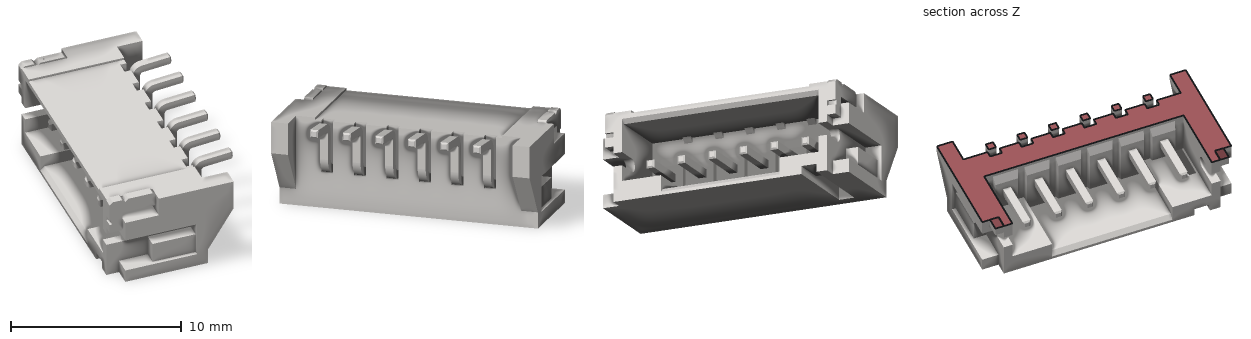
import math

import cadquery as cq


WIDTH = 15.9
SHELL_WIDTH = 13.83
SHELL_DEPTH = 6.0
SHELL_HEIGHT = 5.5
ROOF_PANEL_WIDTH = 11.51
ROOF_PANEL_DROP = 0.15
SHELL_SIDE = SHELL_WIDTH / 2
ROOF_Z = SHELL_HEIGHT - ROOF_PANEL_DROP

CAVITY_WIDTH = 12.69
CAVITY_DEPTH = 4.2
CEILING_Z = 4.8
LEDGE_Z = 1.22
FLOOR_Z = 0.45
FLOOR_WIDTH = 7.68
MOUTH_CHAMFER = 0.25

OPENING_BOTTOM = 2.2
OPENING_TOP = 3.0
OPENING_DEPTH = 1.78

WING_FRONT = 0.8
WING_REAR = 7.6
WING_BEVEL_BOTTOM = 1.0
WING_BEVEL_TOP = 3.58
WING_WIDTH = (WIDTH - SHELL_WIDTH) / 2
TAB_SEAT_REAR = 2.9
TAB_SEAT_Z = 4.3
POCKET_REAR = 5.3
POCKET_BOTTOM = 0.83
PAD_FRONT = 2.59
PAD_TOP = 2.11
PAD_WIDTH = 0.8

CHANNEL_LEFT = 5.25
CHANNEL_WIDTH = 0.99
CHANNEL_HEIGHT = 0.5
CHANNEL_STEP_Y = 2.04
CHANNEL_REAR = 5.25

PIN_COUNT = 6
PITCH = 2.0
PIN_SIZE = 0.5
PIN_Z = 2.4
PIN_FRONT = 0.97
TAIL_END = 8.6
TAIL_TOP = 5.58
TAIL_ANGLE = 5.0
TIP_CHAMFER = 0.1
BEND_START = 5.6
LOWER_BEND_RADIUS = 0.52
UPPER_BEND_RADIUS = 0.7
PIN_SLOT_WIDTH = 0.73

BLOCK_WIDTH = 1.6
BLOCK_SIDE_TAPER = 0.08
BLOCK_DEPTH = 0.2
BLOCK_TOP = 3.72
BLOCK_FRONT_TOP = 3.18
GUSSET_WIDTH = 0.51
GUSSET_SIZE = 0.3

TAB_WIDTH = 0.54
TAB_TOP = 5.61
TAB_ARM_BOTTOM = 4.7
TAB_LEG_BOTTOM = 3.43
TAB_CHAMFER = 0.19
TAB_V_CENTER = 0.99
TAB_GROOVE_BOTTOM = 4.0
TAB_GROOVE_TOP = 4.31
TAB_GROOVE_DEPTH = 0.16
MARK_Y = 1.5
MARK_DIAMETER = 0.1
MARK_DEPTH = 0.08


def box(x_range, y_range, z_range):
    """Box between the given pairs of limits."""
    (x0, x1), (y0, y1), (z0, z1) = x_range, y_range, z_range
    return cq.Workplane("XY").box(x1 - x0, y1 - y0, z1 - z0, centered=False).translate((x0, y0, z0))


def across(points, width, x_center=0.0):
    """Closed outline of (Y, Z) points, extruded along X about x_center."""
    return cq.Workplane("YZ", origin=(x_center, 0, 0)).polyline(points).close().extrude(width / 2, both=True)


def mirror_pair(shape):
    """The shape together with its mirror image on the other side of X = 0."""
    return shape.union(shape.mirror("YZ"))


def row(count):
    """X positions of a centered row at the pin pitch."""
    return [(i - (count - 1) / 2) * PITCH for i in range(count)]


def make_shell():
    half_panel = ROOF_PANEL_WIDTH / 2
    shell = box((-SHELL_SIDE, SHELL_SIDE), (0, SHELL_DEPTH), (0, SHELL_HEIGHT))
    return shell.cut(box((-half_panel, half_panel), (0, SHELL_DEPTH), (ROOF_Z, SHELL_HEIGHT)))


def make_cavity():
    upper = across(
        [
            (0, LEDGE_Z),
            (CAVITY_DEPTH, LEDGE_Z),
            (CAVITY_DEPTH, CEILING_Z),
            (MOUTH_CHAMFER, CEILING_Z),
            (0, CEILING_Z + MOUTH_CHAMFER),
        ],
        CAVITY_WIDTH,
    )
    lower = across(
        [
            (0, FLOOR_Z - MOUTH_CHAMFER),
            (MOUTH_CHAMFER, FLOOR_Z),
            (CAVITY_DEPTH, FLOOR_Z),
            (CAVITY_DEPTH, LEDGE_Z),
            (0, LEDGE_Z),
        ],
        FLOOR_WIDTH,
    )
    return upper.union(lower)


def make_side_openings():
    radius = (OPENING_TOP - OPENING_BOTTOM) / 2
    center_y = OPENING_DEPTH - radius
    return (
        cq.Workplane("YZ")
        .moveTo(0, OPENING_BOTTOM)
        .lineTo(center_y, OPENING_BOTTOM)
        .threePointArc((OPENING_DEPTH, OPENING_BOTTOM + radius), (center_y, OPENING_TOP))
        .lineTo(0, OPENING_TOP)
        .close()
        .extrude(SHELL_SIDE, both=True)
    )


def make_channel():
    """Channel along the underside, deeper behind its front so that it opens through the right ledge."""
    x_range = (CHANNEL_LEFT, CHANNEL_LEFT + CHANNEL_WIDTH)
    channel = box(x_range, (0, CHANNEL_REAR), (0, CHANNEL_HEIGHT))
    return channel.union(box(x_range, (CHANNEL_STEP_Y, CHANNEL_REAR), (0, LEDGE_Z)))


def make_left_wing():
    """Wing with a seat for the solder tab above and a pocket with a raised pad below."""
    outer_x = -WIDTH / 2
    wing_x = (outer_x, -SHELL_SIDE)
    outline = [
        (WING_FRONT, 0),
        (SHELL_DEPTH, 0),
        (SHELL_DEPTH, WING_BEVEL_BOTTOM),
        (WING_REAR, WING_BEVEL_TOP),
        (WING_REAR, SHELL_HEIGHT),
        (TAB_SEAT_REAR, SHELL_HEIGHT),
        (TAB_SEAT_REAR, TAB_SEAT_Z),
        (WING_FRONT, TAB_SEAT_Z),
    ]
    wing = across(outline, WING_WIDTH, (outer_x - SHELL_SIDE) / 2)
    pocket = box(wing_x, (WING_FRONT, POCKET_REAR), (POCKET_BOTTOM, OPENING_TOP))
    pad = box((-SHELL_SIDE - PAD_WIDTH, -SHELL_SIDE), (PAD_FRONT, POCKET_REAR), (POCKET_BOTTOM, PAD_TOP))
    return wing.cut(pocket).union(pad)


def make_block(x_center):
    """Block on the cavity's back wall, tapered at its top and sides."""
    front_y = CAVITY_DEPTH - BLOCK_DEPTH
    half = BLOCK_WIDTH / 2
    front_half = half - BLOCK_SIDE_TAPER
    plan = [
        (x_center - half, CAVITY_DEPTH),
        (x_center - front_half, front_y),
        (x_center + front_half, front_y),
        (x_center + half, CAVITY_DEPTH),
    ]
    profile = [
        (front_y, FLOOR_Z),
        (CAVITY_DEPTH, FLOOR_Z),
        (CAVITY_DEPTH, BLOCK_TOP),
        (front_y, BLOCK_FRONT_TOP),
    ]
    return cq.Workplane("XY").polyline(plan).close().extrude(BLOCK_TOP).intersect(
        across(profile, BLOCK_WIDTH, x_center)
    )


def make_gusset(x_center):
    """Sloped gusset between the ceiling and the back wall."""
    corner = (CAVITY_DEPTH, CEILING_Z)
    return across(
        [corner, (CAVITY_DEPTH - GUSSET_SIZE, CEILING_Z), (CAVITY_DEPTH, CEILING_Z - GUSSET_SIZE)],
        GUSSET_WIDTH,
        x_center,
    )


def make_pin_slot(x_center):
    """Slot in the rear wall, open at the roof, around the lower bend of a pin."""
    half = PIN_SLOT_WIDTH / 2
    return box(
        (x_center - half, x_center + half), (BEND_START, SHELL_DEPTH), (PIN_Z - PIN_SIZE / 2, SHELL_HEIGHT)
    )


def make_pin(x_center):
    """Square pin that runs back through the wall, up behind it and back again."""
    angle = math.radians(TAIL_ANGLE)
    riser_y = BEND_START + LOWER_BEND_RADIUS + PIN_SIZE / 2
    upper_radius = UPPER_BEND_RADIUS - PIN_SIZE / 2
    lower_radius = LOWER_BEND_RADIUS + PIN_SIZE / 2
    diagonal = math.sqrt(0.5)

    bend_y = riser_y + upper_radius
    bend_end_y = bend_y - upper_radius * math.sin(angle)
    tail_run = TAIL_END - bend_end_y
    bend_end_z = TAIL_TOP - PIN_SIZE / 2 - tail_run * math.tan(angle)
    bend_z = bend_end_z - upper_radius * math.cos(angle)
    mid_angle = math.radians(180 + 90 + TAIL_ANGLE) / 2

    path = (
        cq.Workplane("YZ", origin=(x_center, 0, 0))
        .moveTo(PIN_FRONT, PIN_Z)
        .lineTo(BEND_START, PIN_Z)
        .threePointArc(
            (BEND_START + lower_radius * diagonal, PIN_Z + lower_radius * (1 - diagonal)),
            (riser_y, PIN_Z + lower_radius),
        )
        .lineTo(riser_y, bend_z)
        .threePointArc(
            (bend_y + upper_radius * math.cos(mid_angle), bend_z + upper_radius * math.sin(mid_angle)),
            (bend_end_y, bend_end_z),
        )
        .lineTo(TAIL_END, bend_end_z + tail_run * math.tan(angle))
    )
    pin = cq.Workplane("XZ", origin=(x_center, PIN_FRONT, PIN_Z)).rect(PIN_SIZE, PIN_SIZE).sweep(path)
    return pin.faces("<Y or >Y").chamfer(TIP_CHAMFER)


def make_housing():
    """Housing with its six pins as one solid."""
    housing = make_shell().cut(make_cavity()).cut(make_side_openings())
    housing = housing.union(mirror_pair(make_left_wing()))
    for x in row(PIN_COUNT - 1):
        housing = housing.union(make_gusset(x))
    for x in row(PIN_COUNT):
        housing = housing.union(make_block(x)).cut(make_pin_slot(x)).union(make_pin(x))
    return housing.cut(make_channel())


def make_solder_tab(side):
    """L-shaped tab against the shell's side wall; side is -1 for left and 1 for right."""
    outline = [
        (0, TAB_LEG_BOTTOM),
        (WING_FRONT, TAB_LEG_BOTTOM),
        (WING_FRONT, TAB_ARM_BOTTOM),
        (TAB_SEAT_REAR, TAB_ARM_BOTTOM),
        (TAB_SEAT_REAR, TAB_TOP - TAB_CHAMFER),
        (TAB_SEAT_REAR - TAB_CHAMFER, TAB_TOP),
        (TAB_V_CENTER + TAB_CHAMFER, TAB_TOP),
        (TAB_V_CENTER, TAB_TOP - TAB_CHAMFER),
        (TAB_V_CENTER - TAB_CHAMFER, TAB_TOP),
        (TAB_CHAMFER, TAB_TOP),
        (0, TAB_TOP - TAB_CHAMFER),
        (0, TAB_GROOVE_TOP),
        (TAB_GROOVE_DEPTH, TAB_GROOVE_TOP),
        (TAB_GROOVE_DEPTH, TAB_GROOVE_BOTTOM),
        (0, TAB_GROOVE_BOTTOM),
    ]
    return across(outline, TAB_WIDTH, side * (SHELL_SIDE + TAB_WIDTH / 2))


def make_pin_one_mark():
    """Small round dimple in the top of the left tab."""
    x = -SHELL_SIDE - TAB_WIDTH / 2
    return cq.Workplane("XY", origin=(x, MARK_Y, TAB_TOP)).circle(MARK_DIAMETER / 2).extrude(-MARK_DEPTH)


housing = make_housing()
solder_tabs = [make_solder_tab(side) for side in (-1, 1)]
solder_tabs[0] = solder_tabs[0].cut(make_pin_one_mark())

result = cq.Compound.makeCompound([housing.val(), *[tab.val() for tab in solder_tabs]])